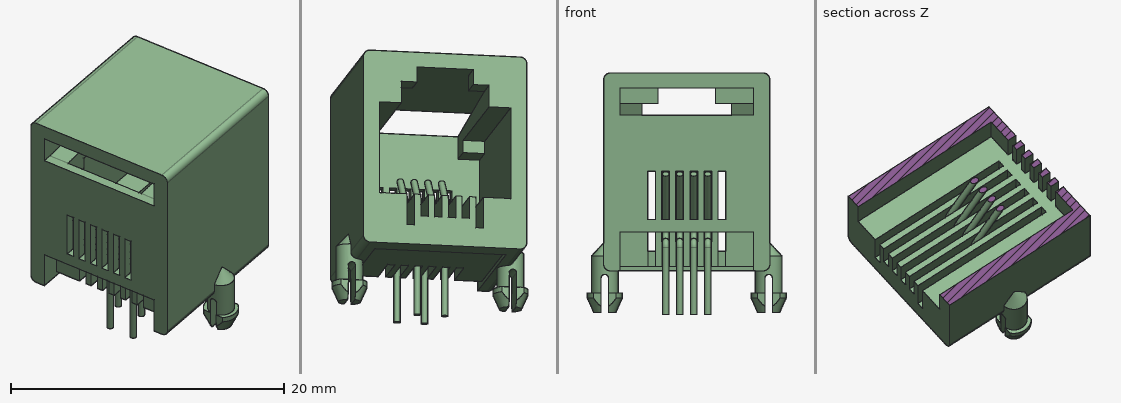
import cadquery as cq
import math


WIDTH = 12.18
DEPTH = 13.01
HEIGHT = 14.5
CORNER_RADIUS = 0.5
REAR_WALL = 0.73
FRONT_LIP = 1.93
LIP_BACK = DEPTH - FRONT_LIP

CAVITY_WIDTH = 9.77
CAVITY_FLOOR = 3.77
CAVITY_ROOF = 13.38

SHELF_GAP = 6.55
SHELF_REAR_TOP = 11.4
SHELF_FRONT_TOP = 12.25
SHELF_BOTTOM = 10.62
SHELF_FOOT_END = 2.76
SHELF_FOOT_BOTTOM = 9.7
LATCH_SLOT_WIDTH = 4.18

COMB_BACK = 1.6
COMB_BOTTOM = 0.32
NOTCH_TOP = 2.83
SLOT_COUNT = 6
SLOT_PITCH = 1.03
SLOT_WIDTH = 0.55
REAR_SLOT_TOP = 7.3
SLOT_FLOOR = 1.45
SLOT_FLOOR_BACK = 5.31

WIRE_COUNT = 4
WIRE_DIAMETER = 0.5
PIN_TIP = -3.2
NEAR_ROW = 2.16
ROW_SPACING = 2.53
LEG_HEIGHT = 2.15
PIN_BEND = 0.42
SPRING_BEND = 0.67
SPRING_BEND_Y = 6.55
SPRING_ANGLE = 47.0
SPRING_END_HEIGHT = 7.1

PEG_X = 6.0
PEG_Y = 7.01
PEG_RADIUS = 1.0
PEG_APEX = 2.15
PEG_SHOULDER = 1.08
BARB_RADIUS = 1.3
BARB_TOP = -1.61
BARB_BOTTOM = -2.0
PEG_TIP = -3.06
PEG_TIP_RADIUS = 0.81
PEG_SLOT_WIDTH = 0.53
PEG_SLOT_TOP = -0.27


def block(width, y_span, z_span, x=0.0):
    """Box centred on x, covering the given Y and Z spans."""
    y0, y1 = y_span
    z0, z1 = z_span
    return cq.Workplane("XY").box(width, y1 - y0, z1 - z0).translate((x, (y0 + y1) / 2, (z0 + z1) / 2))


def spread(count):
    """X positions of slots or wires, centred on the jack."""
    return [(i - (count - 1) / 2) * SLOT_PITCH for i in range(count)]


def make_shelf(side):
    """Sloped latch shelf on one cavity side, with a deeper foot at the rear wall."""
    width = (CAVITY_WIDTH - SHELF_GAP) / 2
    profile = [
        (REAR_WALL, SHELF_REAR_TOP),
        (LIP_BACK, SHELF_FRONT_TOP),
        (LIP_BACK, SHELF_BOTTOM),
        (SHELF_FOOT_END, SHELF_BOTTOM),
        (SHELF_FOOT_END, SHELF_FOOT_BOTTOM),
        (REAR_WALL, SHELF_FOOT_BOTTOM),
    ]
    shelf = cq.Workplane("YZ").polyline(profile).close().extrude(width / 2, both=True)
    return shelf.translate((side * (SHELF_GAP + width) / 2, 0, 0))


def make_housing():
    """Rounded shell with the cavity, the stepped plug entry and the rear openings."""
    shell = block(WIDTH, (0, DEPTH), (0, HEIGHT)).edges("|Y").fillet(CORNER_RADIUS)
    cavity = block(CAVITY_WIDTH, (REAR_WALL, LIP_BACK), (CAVITY_FLOOR, CAVITY_ROOF))
    shell = shell.cut(cavity.cut(make_shelf(-1)).cut(make_shelf(1)))

    lip_span = (LIP_BACK, DEPTH)
    shell = shell.cut(block(CAVITY_WIDTH, lip_span, (CAVITY_FLOOR, SHELF_BOTTOM)))
    shell = shell.cut(block(SHELF_GAP, lip_span, (SHELF_BOTTOM, SHELF_FRONT_TOP)))
    shell = shell.cut(block(LATCH_SLOT_WIDTH, lip_span, (SHELF_FRONT_TOP, CAVITY_ROOF)))

    shell = shell.cut(block(CAVITY_WIDTH, (0, REAR_WALL), (SHELF_REAR_TOP, CAVITY_ROOF)))
    shell = shell.cut(block(CAVITY_WIDTH, (0, COMB_BACK), (0, NOTCH_TOP)))
    return shell.cut(block(CAVITY_WIDTH, (COMB_BACK, LIP_BACK), (0, COMB_BOTTOM)))


def cut_slots(shell):
    """Cut the contact slots through the rear wall and the cavity floor."""
    wire_places = spread(WIRE_COUNT)
    for x in spread(SLOT_COUNT):
        holds_wire = any(math.isclose(x, place) for place in wire_places)
        floor = LEG_HEIGHT if holds_wire else SLOT_FLOOR
        shell = shell.cut(block(SLOT_WIDTH, (0, REAR_WALL), (CAVITY_FLOOR, REAR_SLOT_TOP), x))
        shell = shell.cut(block(SLOT_WIDTH, (COMB_BACK, SLOT_FLOOR_BACK), (0, CAVITY_FLOOR), x))
        shell = shell.cut(block(SLOT_WIDTH, (SLOT_FLOOR_BACK, DEPTH), (floor, CAVITY_FLOOR), x))
    return shell


def make_wire(x, pin_y):
    """Round wire: pin, bend, level leg, return bend and spring rising to the rear."""
    angle = math.radians(SPRING_ANGLE)
    half_turn = (math.pi - angle) / 2
    bend_z = LEG_HEIGHT + SPRING_BEND
    pin_diagonal = PIN_BEND * math.sqrt(0.5)
    spring_y = SPRING_BEND_Y + SPRING_BEND * math.sin(angle)
    spring_z = bend_z + SPRING_BEND * math.cos(angle)
    spring_run = (SPRING_END_HEIGHT - spring_z) / math.tan(angle)

    path = (
        cq.Workplane("YZ", origin=(x, 0, 0))
        .moveTo(pin_y, PIN_TIP)
        .lineTo(pin_y, LEG_HEIGHT - PIN_BEND)
        .threePointArc(
            (pin_y + PIN_BEND - pin_diagonal, LEG_HEIGHT - PIN_BEND + pin_diagonal),
            (pin_y + PIN_BEND, LEG_HEIGHT),
        )
        .lineTo(SPRING_BEND_Y, LEG_HEIGHT)
        .threePointArc(
            (SPRING_BEND_Y + SPRING_BEND * math.sin(half_turn), bend_z - SPRING_BEND * math.cos(half_turn)),
            (spring_y, spring_z),
        )
        .lineTo(spring_y - spring_run, SPRING_END_HEIGHT)
    )
    return cq.Workplane("XY", origin=(x, pin_y, PIN_TIP)).circle(WIRE_DIAMETER / 2).sweep(path)


def make_peg(x):
    """Pointed, split peg with a barb trimmed flush with the shank front and back."""
    profile = [
        (0, PEG_APEX),
        (PEG_RADIUS, PEG_SHOULDER),
        (PEG_RADIUS, BARB_TOP),
        (BARB_RADIUS, BARB_TOP),
        (BARB_RADIUS, BARB_BOTTOM),
        (PEG_TIP_RADIUS, PEG_TIP),
        (0, PEG_TIP),
    ]
    peg = cq.Workplane("XZ").polyline(profile).close().revolve(360, (0, 0), (0, 1))
    peg = peg.intersect(block(2 * BARB_RADIUS, (-PEG_RADIUS, PEG_RADIUS), (PEG_TIP, PEG_APEX)))

    slot_radius = PEG_SLOT_WIDTH / 2
    slot_arc_z = PEG_SLOT_TOP - slot_radius
    peg = peg.cut(block(PEG_SLOT_WIDTH, (-PEG_RADIUS, PEG_RADIUS), (PEG_TIP, slot_arc_z)))
    slot_end = cq.Workplane("XZ").center(0, slot_arc_z).circle(slot_radius).extrude(PEG_RADIUS, both=True)
    return peg.cut(slot_end).translate((x, PEG_Y, 0))


result = cut_slots(make_housing())
for index, wire_x in enumerate(spread(WIRE_COUNT)):
    row_y = NEAR_ROW if index % 2 else NEAR_ROW + ROW_SPACING
    result = result.union(make_wire(wire_x, row_y))
for peg_x in (-PEG_X, PEG_X):
    result = result.union(make_peg(peg_x))